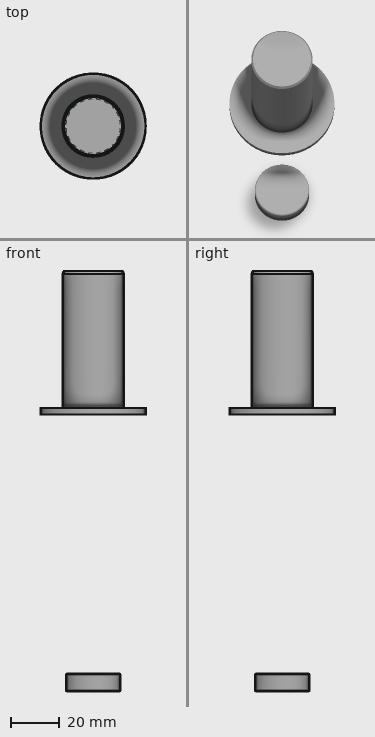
import cadquery as cq

total_height = 172.0
flange_diameter = 43.0
flange_thickness = 2.8
shaft_diameter = 25.1
shaft_chamfer_width = 0.7
shaft_chamfer_depth = 1.2
pin_height = 58.8
disc_diameter = 22.2
disc_height = 7.2
disc_fillet = 0.7

flange_radius = flange_diameter / 2
shaft_radius = shaft_diameter / 2

pin_base = total_height - pin_height


def revolve_profile(points):
    """Turn a closed (radius, height) outline about the Z axis."""
    return cq.Workplane("XZ").polyline(points).close().revolve(360, (0, 0), (0, 1))


def make_pin():
    """Round shaft standing on a thin flange, with a steep chamfer at its top."""
    flange_top = pin_base + flange_thickness
    return revolve_profile([
        (0, pin_base),
        (flange_radius, pin_base),
        (flange_radius, flange_top),
        (shaft_radius, flange_top),
        (shaft_radius, total_height - shaft_chamfer_depth),
        (shaft_radius - shaft_chamfer_width, total_height),
        (0, total_height),
    ])


def make_disc():
    """Short separate disc with both rims rounded."""
    blank = cq.Workplane("XY").circle(disc_diameter / 2).extrude(disc_height)
    return blank.faces("<Z or >Z").edges().fillet(disc_fillet)


pin = make_pin()
disc = make_disc()

result = cq.Compound.makeCompound([pin.val(), disc.val()])